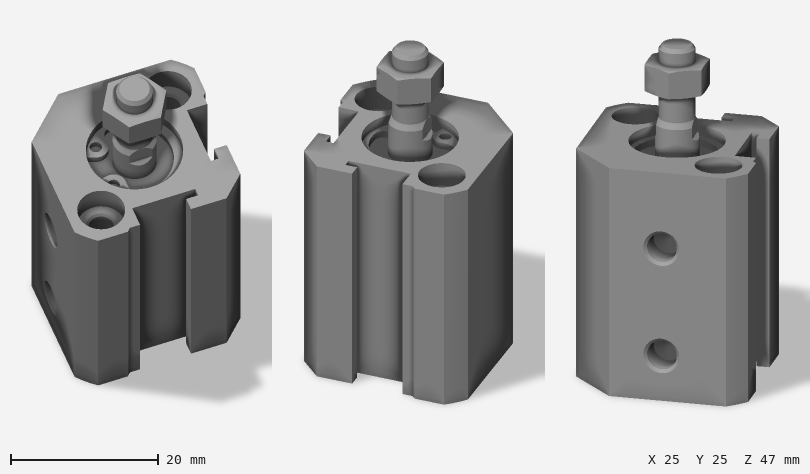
import cadquery as cq
import math


TOTAL_HEIGHT = 47.0
CUTTER_MARGIN = 2.35

BODY_WIDTH = 25.0
BODY_HEIGHT = 33.0
HALF_WIDTH = BODY_WIDTH / 2
CORNER_RADIUS = 16.05
LARGE_BEVEL = 6.2
SLOT_FACE = 12.0
FACE_STEP_START = 5.75
SLOT_CORNER = 8.8
SLOT_FLOOR = 9.02
SLOT_LIP_UNDERSIDE = 10.15
SLOT_PLAIN_SIDE = -3.75
SLOT_LIP_END = 3.6
SLOT_UNDERCUT_END = 5.35

MOUNT_OFFSET = 7.8
MOUNT_DIAMETER = 3.5
MOUNT_MOUTH_DIAMETER = 4.15
COUNTERBORE_DIAMETER = 6.5
COUNTERBORE_DEPTH = 3.52

PORT_X = 1.0
PORT_HEIGHTS = (6.5, 22.0)
PORT_DIAMETER = 4.15
PORT_MOUTH_DIAMETER = 5.0
PORT_DEPTH = 4.0
PORT_TIP_ANGLE = 118.0

RECESS_DIAMETER = 13.2
RING_TOP_DEPTH = 1.5
RING_THICKNESS = 1.0
RING_INNER_RADIUS = 5.85
RING_INNER_Y = -0.5
RING_CORNER_RADIUS = 1.25
EYE_X = 3.4
EYE_Y = -4.32
EYE_DIAMETER = 3.5
EYE_HOLE_DIAMETER = 1.7
RECESS_FLOOR = BODY_HEIGHT - RING_TOP_DEPTH - RING_THICKNESS

ROD_DIAMETER = 6.0
STUD_DIAMETER = 5.0
TIP_DIAMETER = 4.15
TIP_HEIGHT = 0.55
TAPER_BOTTOM = 35.63
TAPER_TOP = 36.45
FLAT_BOTTOM = 34.0
FLATS_WIDTH = STUD_DIAMETER

NUT_WIDTH = 8.0
NUT_HEIGHT = 4.0
NUT_BOTTOM = 40.5
NUT_FACE_DIAMETER = 7.95
NUT_CORNER_DROP = 0.15


def cylinder(diameter, bottom, top):
    return cq.Workplane("XY").workplane(offset=bottom).circle(diameter / 2).extrude(top - bottom)


def slotted_side():
    """Points along the +Y side, from its plain end to the bevel at the +X end."""
    step = HALF_WIDTH - SLOT_FACE
    return [
        (-FACE_STEP_START, HALF_WIDTH),
        (-FACE_STEP_START + step, SLOT_FACE),
        (SLOT_PLAIN_SIDE, SLOT_FACE),
        (SLOT_PLAIN_SIDE, SLOT_FLOOR),
        (SLOT_UNDERCUT_END, SLOT_FLOOR),
        (SLOT_UNDERCUT_END, SLOT_LIP_UNDERSIDE),
        (SLOT_LIP_END, SLOT_LIP_UNDERSIDE),
        (SLOT_LIP_END, SLOT_FACE),
        (SLOT_CORNER, SLOT_FACE),
    ]


def housing_block():
    """The outline is symmetric about the plane X = Y."""
    arc_end = math.sqrt(CORNER_RADIUS**2 - HALF_WIDTH**2)
    arc_middle = CORNER_RADIUS / math.sqrt(2)
    bevel_start = LARGE_BEVEL - HALF_WIDTH
    top_side = slotted_side()
    right_side = [(y, x) for x, y in reversed(top_side)]
    outline = (
        cq.Workplane("XY")
        .moveTo(bevel_start, -HALF_WIDTH)
        .lineTo(-HALF_WIDTH, bevel_start)
        .lineTo(-HALF_WIDTH, arc_end)
        .threePointArc((-arc_middle, arc_middle), (-arc_end, HALF_WIDTH))
    )
    for x, y in top_side + right_side + [(HALF_WIDTH, -arc_end)]:
        outline = outline.lineTo(x, y)
    outline = outline.threePointArc((arc_middle, -arc_middle), (arc_end, -HALF_WIDTH))
    return outline.close().extrude(BODY_HEIGHT)


def mounting_hole():
    """Through hole with a counterbore and a 45 degree lead-in at the counterbore floor."""
    floor = BODY_HEIGHT - COUNTERBORE_DEPTH
    hole_radius = MOUNT_DIAMETER / 2
    mouth_radius = MOUNT_MOUTH_DIAMETER / 2
    profile = [
        (0, 0),
        (hole_radius, 0),
        (hole_radius, floor - (mouth_radius - hole_radius)),
        (mouth_radius, floor),
        (COUNTERBORE_DIAMETER / 2, floor),
        (COUNTERBORE_DIAMETER / 2, BODY_HEIGHT),
        (0, BODY_HEIGHT),
    ]
    return cq.Workplane("XZ").polyline(profile).close().revolve(360, (0, 0), (0, 1))


def port():
    """Blind drilled hole along +Y with a 45 degree mouth, centred on X = 0, Z = 0."""
    radius = PORT_DIAMETER / 2
    mouth_radius = PORT_MOUTH_DIAMETER / 2
    cylinder_end = PORT_DEPTH - HALF_WIDTH
    tip_length = radius / math.tan(math.radians(PORT_TIP_ANGLE / 2))
    profile = [
        (0, -HALF_WIDTH),
        (mouth_radius, -HALF_WIDTH),
        (radius, -HALF_WIDTH + mouth_radius - radius),
        (radius, cylinder_end),
        (0, cylinder_end + tip_length),
    ]
    return cq.Workplane("XY").polyline(profile).close().revolve(360, (0, 0), (0, 1))


def ring_opening():
    """Space inside the ring: an off-centre arc, the two eyes and the gap between the ring ends."""
    eye_radius = EYE_DIAMETER / 2
    eye_top = EYE_Y + eye_radius
    corner_x = math.sqrt(RING_INNER_RADIUS**2 - (eye_top - RING_INNER_Y) ** 2)

    eye_distance = math.hypot(EYE_X, EYE_Y)
    end_angle = math.atan2(EYE_X, -EYE_Y) - math.asin(eye_radius / eye_distance)
    tangent_distance = math.sqrt(eye_distance**2 - eye_radius**2)
    tangent_x = tangent_distance * math.sin(end_angle)
    tangent_y = -tangent_distance * math.cos(end_angle)
    outer_distance = RECESS_DIAMETER / 2
    outer_x = outer_distance * math.sin(end_angle)
    outer_y = -outer_distance * math.cos(end_angle)

    arc_angle = (math.pi / 2 - end_angle) / 2
    arc_x = EYE_X - eye_radius * math.cos(arc_angle)
    arc_y = EYE_Y + eye_radius * math.sin(arc_angle)

    opening = (
        cq.Workplane("XY")
        .workplane(offset=RECESS_FLOOR)
        .moveTo(outer_x, outer_y)
        .lineTo(tangent_x, tangent_y)
        .threePointArc((arc_x, arc_y), (EYE_X, eye_top))
        .lineTo(corner_x, eye_top)
        .threePointArc((0, RING_INNER_Y + RING_INNER_RADIUS), (-corner_x, eye_top))
        .lineTo(-EYE_X, eye_top)
        .threePointArc((-arc_x, arc_y), (-tangent_x, tangent_y))
        .lineTo(-outer_x, outer_y)
        .threePointArc((0, -outer_distance), (outer_x, outer_y))
        .close()
        .extrude(RING_THICKNESS)
    )
    return opening.edges("|Z").edges("<X or >X").fillet(RING_CORNER_RADIUS)


def make_housing():
    housing = housing_block()

    for side in (-1, 1):
        housing = housing.cut(mounting_hole().translate((side * MOUNT_OFFSET, -side * MOUNT_OFFSET, 0)))

    for height in PORT_HEIGHTS:
        housing = housing.cut(port().translate((PORT_X, 0, height)))

    ring_top = BODY_HEIGHT - RING_TOP_DEPTH
    housing = housing.cut(cylinder(RECESS_DIAMETER, ring_top, BODY_HEIGHT))
    housing = housing.cut(ring_opening())
    for side in (-1, 1):
        eye_hole = cylinder(EYE_HOLE_DIAMETER, RECESS_FLOOR, ring_top)
        housing = housing.cut(eye_hole.translate((side * EYE_X, EYE_Y, 0)))
    return housing


def wrench_flat():
    """Cutter for the flat on the +X side of the rod; its lower end slopes out at 45 degrees."""
    flat_x = FLATS_WIDTH / 2
    outer_x = ROD_DIAMETER / 2 + CUTTER_MARGIN
    profile = [
        (flat_x, FLAT_BOTTOM),
        (flat_x, TAPER_TOP),
        (outer_x, TAPER_TOP),
        (outer_x, FLAT_BOTTOM - (outer_x - flat_x)),
    ]
    return cq.Workplane("XZ").polyline(profile).close().extrude(ROD_DIAMETER / 2, both=True)


def make_rod():
    """Rod standing on the recess floor, tapering to a thinner stud with a chamfered tip."""
    profile = [
        (0, RECESS_FLOOR),
        (ROD_DIAMETER / 2, RECESS_FLOOR),
        (ROD_DIAMETER / 2, TAPER_BOTTOM),
        (STUD_DIAMETER / 2, TAPER_TOP),
        (STUD_DIAMETER / 2, TOTAL_HEIGHT - TIP_HEIGHT),
        (TIP_DIAMETER / 2, TOTAL_HEIGHT),
        (0, TOTAL_HEIGHT),
    ]
    rod = cq.Workplane("XZ").polyline(profile).close().revolve(360, (0, 0), (0, 1))
    for angle in (0, 180):
        rod = rod.cut(wrench_flat().rotate((0, 0, 0), (0, 0, 1), angle))
    return rod


def make_nut():
    """Hexagon with corners on Y, turned conical at both ends, around the stud."""
    corner_diameter = NUT_WIDTH / math.cos(math.radians(30))
    nut_top = NUT_BOTTOM + NUT_HEIGHT
    hexagon = (
        cq.Workplane("XY")
        .workplane(offset=NUT_BOTTOM)
        .transformed(rotate=(0, 0, 90))
        .polygon(6, corner_diameter)
        .extrude(NUT_HEIGHT)
    )
    turned_profile = [
        (0, NUT_BOTTOM),
        (NUT_FACE_DIAMETER / 2, NUT_BOTTOM),
        (corner_diameter / 2, NUT_BOTTOM + NUT_CORNER_DROP),
        (corner_diameter / 2, nut_top - NUT_CORNER_DROP),
        (NUT_FACE_DIAMETER / 2, nut_top),
        (0, nut_top),
    ]
    turned = cq.Workplane("XZ").polyline(turned_profile).close().revolve(360, (0, 0), (0, 1))
    return hexagon.intersect(turned).cut(cylinder(STUD_DIAMETER, NUT_BOTTOM, nut_top))


housing = make_housing()
rod = make_rod()
nut = make_nut()

result = cq.Compound.makeCompound([housing.val(), rod.val(), nut.val()])